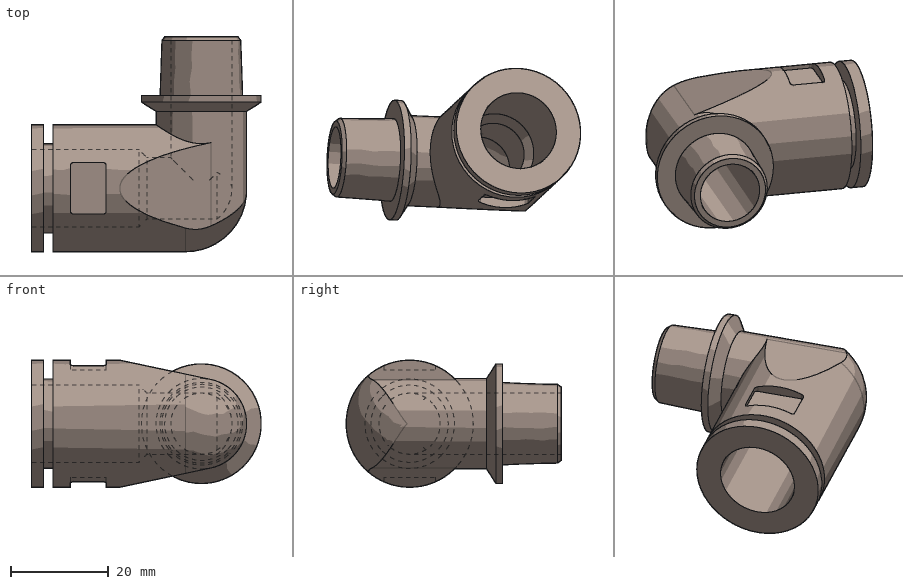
import cadquery as cq
import math

BARREL_RADIUS = 13.0
COLLAR_LENGTH = 2.5
GROOVE_END = 4.4
GROOVE_RADIUS = 18.3 / 2
BARREL_END = 44.0
END_FILLET = 12.5

LEG_RADIUS = 18.5 / 2
LEG_X = BARREL_END - LEG_RADIUS
FLANGE_RADIUS = 24.5 / 2
FLANGE_CONE_START = 15.7
FLANGE_RIM_START = 17.6
FLANGE_END = 19.0
SPIGOT_BASE_RADIUS = 16.9 / 2
SPIGOT_TIP_RADIUS = 16.15 / 2
SPIGOT_END_RADIUS = 15.0 / 2
SPIGOT_CHAMFER = 0.8
LEG_END = 31.0

FLAT_ANGLE = math.radians(12.0)
TANGENT_X = LEG_X + LEG_RADIUS * math.sin(FLAT_ANGLE)
TANGENT_Z = LEG_RADIUS * math.cos(FLAT_ANGLE)

RECESS_START = 8.0
RECESS_LENGTH = 7.3
RECESS_WIDTH = 10.5
RECESS_DEPTH = 2.0
RECESS_CORNER = 0.6

SOCKET_RADIUS = 15.8 / 2
SOCKET_DEPTH = 22.0
BORE_RADIUS = 12.5 / 2
SOCKET_CONE_LENGTH = SOCKET_RADIUS - BORE_RADIUS
BORE_DOME_RADIUS = 8.0

CLEARANCE = 1.0


def make_barrel():
    """Grooved barrel, tapered on +Z and -Z up to its tangency with the leg."""
    taper_start = TANGENT_X - (BARREL_RADIUS - TANGENT_Z) / math.tan(FLAT_ANGLE)
    side_profile = (
        cq.Workplane("XZ")
        .moveTo(0, -BARREL_RADIUS)
        .lineTo(taper_start, -BARREL_RADIUS)
        .lineTo(TANGENT_X, -TANGENT_Z)
        .lineTo(TANGENT_X, TANGENT_Z)
        .lineTo(taper_start, BARREL_RADIUS)
        .lineTo(0, BARREL_RADIUS)
        .close()
        .extrude(BARREL_RADIUS, both=True)
    )
    groove = (
        cq.Workplane("YZ")
        .workplane(offset=COLLAR_LENGTH)
        .circle(BARREL_RADIUS + CLEARANCE)
        .circle(GROOVE_RADIUS)
        .extrude(GROOVE_END - COLLAR_LENGTH)
    )
    barrel = cq.Workplane("YZ").circle(BARREL_RADIUS).extrude(TANGENT_X)
    return barrel.intersect(side_profile).cut(groove)


def make_corner_cutter():
    """Everything outside the rounded end of the barrel, on the side away from the leg."""
    rounded_barrel = (
        cq.Workplane("YZ")
        .circle(BARREL_RADIUS)
        .extrude(BARREL_END)
        .faces(">X")
        .edges()
        .fillet(END_FILLET)
    )
    side = BARREL_RADIUS + CLEARANCE
    block = cq.Workplane("XY").box(
        BARREL_END + CLEARANCE, side, 2 * side, centered=(False, False, True)
    )
    return block.translate((0, -side, 0)).cut(rounded_barrel)


def make_leg():
    """Leg with a coned flange and a tapered, chamfered spigot."""
    return (
        cq.Workplane("XY")
        .moveTo(LEG_X, -BARREL_RADIUS)
        .lineTo(LEG_X - LEG_RADIUS, -BARREL_RADIUS)
        .lineTo(LEG_X - LEG_RADIUS, FLANGE_CONE_START)
        .lineTo(LEG_X - FLANGE_RADIUS, FLANGE_RIM_START)
        .lineTo(LEG_X - FLANGE_RADIUS, FLANGE_END)
        .lineTo(LEG_X - SPIGOT_BASE_RADIUS, FLANGE_END)
        .lineTo(LEG_X - SPIGOT_TIP_RADIUS, LEG_END - SPIGOT_CHAMFER)
        .lineTo(LEG_X - SPIGOT_END_RADIUS, LEG_END)
        .lineTo(LEG_X, LEG_END)
        .close()
        .revolve(360, (LEG_X, 0, 0), (LEG_X, 1, 0))
    )


def make_recess(side):
    """Shallow rectangular pocket cutter; side is +1 for +Z or -1 for -Z."""
    return (
        cq.Workplane("XY")
        .workplane(offset=side * (BARREL_RADIUS - RECESS_DEPTH))
        .center(RECESS_START + RECESS_LENGTH / 2, 0)
        .rect(RECESS_LENGTH, RECESS_WIDTH)
        .extrude(side * (RECESS_DEPTH + CLEARANCE))
        .edges("|Z")
        .fillet(RECESS_CORNER)
    )


def make_main_bore():
    """Socket stepping through a cone to a narrower bore with a domed end."""
    dome_tip = LEG_X + BORE_RADIUS
    dome_centre = dome_tip - BORE_DOME_RADIUS
    dome_start = dome_centre + math.sqrt(BORE_DOME_RADIUS**2 - BORE_RADIUS**2)
    arc_angle = math.asin(BORE_RADIUS / BORE_DOME_RADIUS) / 2
    arc_middle = (
        dome_centre + BORE_DOME_RADIUS * math.cos(arc_angle),
        BORE_DOME_RADIUS * math.sin(arc_angle),
    )
    return (
        cq.Workplane("XY")
        .moveTo(0, 0)
        .lineTo(0, SOCKET_RADIUS)
        .lineTo(SOCKET_DEPTH, SOCKET_RADIUS)
        .lineTo(SOCKET_DEPTH + SOCKET_CONE_LENGTH, BORE_RADIUS)
        .lineTo(dome_start, BORE_RADIUS)
        .threePointArc(arc_middle, (dome_tip, 0))
        .close()
        .revolve(360, (0, 0, 0), (1, 0, 0))
    )


def make_leg_bore():
    """Straight bore from the barrel axis out through the spigot."""
    return (
        cq.Workplane("XZ")
        .center(LEG_X, 0)
        .circle(BORE_RADIUS)
        .extrude(-LEG_END)
    )


result = make_barrel().union(make_leg()).cut(make_corner_cutter())
for recess_side in (1, -1):
    result = result.cut(make_recess(recess_side))
result = result.cut(make_main_bore()).cut(make_leg_bore())